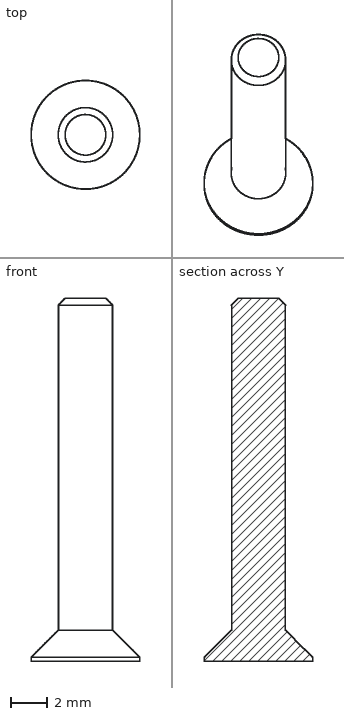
import cadquery as cq

total_length = 20.0
shank_radius = 3.0 / 2
head_radius = 6.0 / 2
rim_height = 0.22
tip_chamfer = 0.38

cone_height = head_radius - shank_radius
head_height = rim_height + cone_height

result = (
    cq.Workplane("XZ")
    .moveTo(0, 0)
    .lineTo(head_radius, 0)
    .lineTo(head_radius, rim_height)
    .lineTo(shank_radius, head_height)
    .lineTo(shank_radius, total_length - tip_chamfer)
    .lineTo(shank_radius - tip_chamfer, total_length)
    .lineTo(0, total_length)
    .close()
    .revolve(360, (0, 0, 0), (0, 1, 0))
)